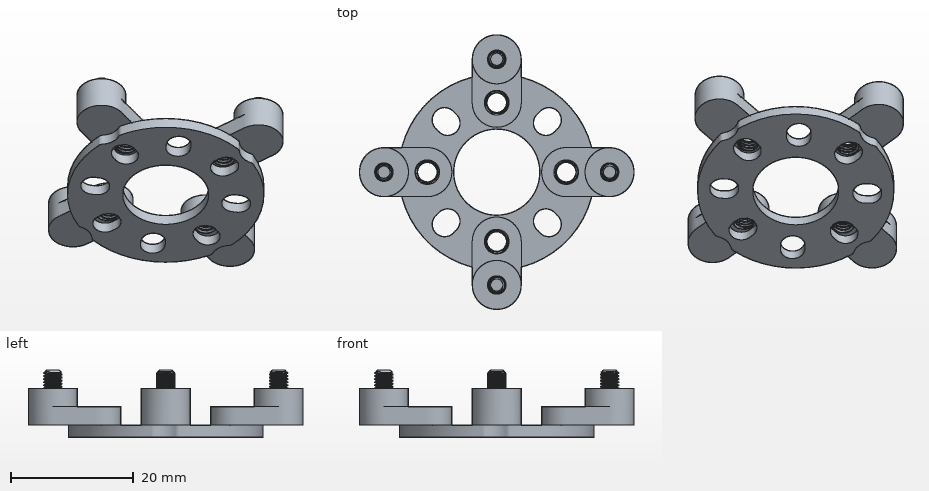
import cadquery as cq
import math

ARM_COUNT = 4
SLOT_COUNT = 8

RING_RADIUS = 16.0
RING_BORE_RADIUS = 7.0
RING_THICKNESS = 2.0
SLOT_WIDTH = 4.0
SLOT_INNER_RADIUS = 8.0 * math.sqrt(2)
SLOT_OUTER_RADIUS = 8.5 * math.sqrt(2)
SCALLOP_RADIUS = 3.1
SCALLOP_BLEND_RADIUS = 1.0

TAPPED_HOLE_RADIUS = SLOT_INNER_RADIUS
STUD_RADIUS = 13.0 * math.sqrt(2)
ARM_WIDTH = 8.0
ARM_THICKNESS = 3.0
BOSS_HEIGHT = 6.0
STUD_LENGTH = 3.0
STUD_CHAMFER = 0.5
BLANK_MARGIN = 0.2

STUD_DIAMETER = 3.0
STUD_PITCH = 0.5
TAP_DIAMETER = 4.0
TAP_PITCH = 0.7

CREST_WIDTH = 1 / 8
ROOT_WIDTH = 1 / 4
THREAD_DEPTH = (1 - CREST_WIDTH - ROOT_WIDTH) / 2 / math.tan(math.radians(30))
FLANK_STEPS = 6


def polar_point(radius, angle):
    return (radius * math.cos(math.radians(angle)), radius * math.sin(math.radians(angle)))


def flank_spiral(start_radius, start_angle, end_radius, end_angle):
    """Points of a thread flank in cross-section: the radius changes evenly with the angle."""
    points = []
    for step in range(1, FLANK_STEPS + 1):
        share = step / FLANK_STEPS
        radius = start_radius + share * (end_radius - start_radius)
        angle = start_angle + share * (end_angle - start_angle)
        points.append(polar_point(radius, angle))
    return points


def threaded_rod(diameter, pitch, length):
    """Right-hand threaded rod along +Z: its cross-section turns once per pitch as it rises.

    The thread crest starts on the +X side at z = 0.
    """
    crest_radius = diameter / 2
    root_radius = crest_radius - THREAD_DEPTH * pitch
    crest_angle = 360 * CREST_WIDTH / 2
    root_angle = 180 - 360 * ROOT_WIDTH / 2
    section = (
        cq.Workplane("XY")
        .moveTo(*polar_point(crest_radius, -crest_angle))
        .threePointArc((crest_radius, 0), polar_point(crest_radius, crest_angle))
        .spline(flank_spiral(crest_radius, crest_angle, root_radius, root_angle), includeCurrent=True)
        .threePointArc((-root_radius, 0), polar_point(root_radius, -root_angle))
        .spline(flank_spiral(root_radius, -root_angle, crest_radius, -crest_angle), includeCurrent=True)
        .close()
    )
    return section.twistExtrude(length, 360 * length / pitch)


def make_ring():
    """Flat ring with radial slots all round and a blended scallop in the rim under each stud."""
    ring = cq.Workplane("XY").circle(RING_RADIUS).extrude(RING_THICKNESS)

    scallops = (
        cq.Workplane("XY")
        .polarArray(STUD_RADIUS, 0, 360, ARM_COUNT)
        .circle(SCALLOP_RADIUS)
        .extrude(RING_THICKNESS)
    )
    ring = ring.cut(scallops)
    ring = ring.edges("|Z").fillet(SCALLOP_BLEND_RADIUS)

    slot_travel = SLOT_OUTER_RADIUS - SLOT_INNER_RADIUS
    slot_centre = (SLOT_OUTER_RADIUS + SLOT_INNER_RADIUS) / 2
    slots = (
        cq.Workplane("XY")
        .polarArray(slot_centre, 0, 360, SLOT_COUNT)
        .slot2D(slot_travel + SLOT_WIDTH, SLOT_WIDTH)
        .extrude(RING_THICKNESS)
    )
    bore = cq.Workplane("XY").circle(RING_BORE_RADIUS).extrude(RING_THICKNESS)
    return ring.cut(slots).cut(bore)


def make_tapped_hole():
    """Material removed by the tapped hole, with a 45 degree countersink at the top of the foot."""
    thread = threaded_rod(TAP_DIAMETER, TAP_PITCH, ARM_THICKNESS)
    countersink_depth = THREAD_DEPTH * TAP_PITCH
    countersink = (
        cq.Workplane("XY", origin=(0, 0, ARM_THICKNESS))
        .circle(TAP_DIAMETER / 2)
        .extrude(-countersink_depth, taper=45)
    )
    return thread, countersink


def make_stud():
    """Threaded stud with a chamfered tip; the wide blank leaves the thread crests untouched."""
    blank = (
        cq.Workplane("XY")
        .circle(STUD_DIAMETER / 2 + BLANK_MARGIN)
        .extrude(STUD_LENGTH)
        .faces(">Z")
        .chamfer(STUD_CHAMFER + BLANK_MARGIN)
    )
    return threaded_rod(STUD_DIAMETER, STUD_PITCH, STUD_LENGTH).intersect(blank)


def make_arm():
    """Arm pointing along +X: a tapped foot, a round boss at the outer end and a threaded stud."""
    end_radius = ARM_WIDTH / 2
    span = STUD_RADIUS - TAPPED_HOLE_RADIUS
    foot = (
        cq.Workplane("XY")
        .moveTo(STUD_RADIUS, -end_radius)
        .hLine(-span)
        .threePointArc((TAPPED_HOLE_RADIUS - end_radius, 0), (TAPPED_HOLE_RADIUS, end_radius))
        .hLine(span)
        .close()
        .extrude(ARM_THICKNESS)
    )
    boss = cq.Workplane("XY").center(STUD_RADIUS, 0).circle(end_radius).extrude(BOSS_HEIGHT)
    arm = foot.union(boss)

    for cutter in make_tapped_hole():
        arm = arm.cut(cutter.translate((TAPPED_HOLE_RADIUS, 0, 0)))

    arm = arm.union(make_stud().translate((STUD_RADIUS, 0, BOSS_HEIGHT)))
    return arm.translate((0, 0, RING_THICKNESS))


ring = make_ring()
arm = make_arm()
arms = [arm.rotate((0, 0, 0), (0, 0, 1), i * 360 / ARM_COUNT) for i in range(ARM_COUNT)]

result = cq.Compound.makeCompound([ring.solids().val(), *[a.solids().val() for a in arms]])